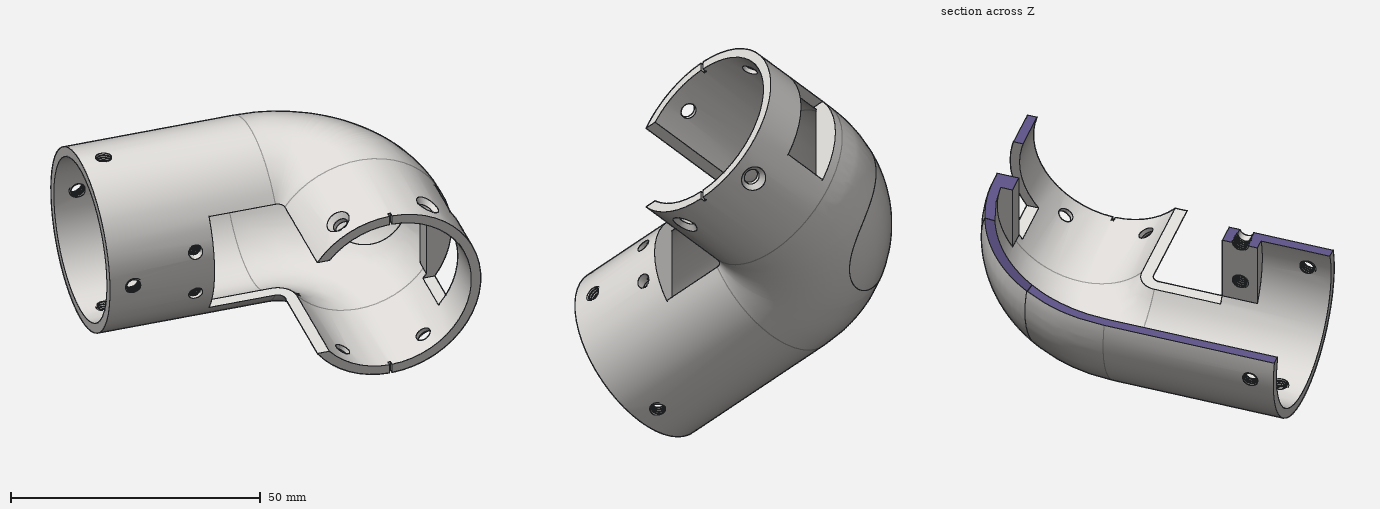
import cadquery as cq
import math


outer_radius = 19.0
wall = 2.0
bore_radius = outer_radius - wall
bend_radius = bore_radius
long_leg = 36.0
short_leg = 20.8
bend_core = 0.7
past_tube = 2 * outer_radius

opening_half_width = 11.0
long_opening_length = 14.0
notch_start = 2.0
notch_length = 10.0

long_pad_distance = 14.0
long_pad_length = 7.5
short_pad_distance = 13.7
short_pad_length = 2 * notch_start

thread_core_radius = 1.45
thread_depth = 0.325
thread_pitch = 0.6
thread_base = 0.57
thread_run_out = 0.9

thread_from_end = 5.05

pad_thread_length = 3.0
pad_hole_height = 5.0

screw_radius = 1.6
countersink_radius = 2.7
countersink_depth = 1.1
screw_from_end = 5.05
screw_angle = 30

slot_width = 0.5
slot_depth = 1.0

insert_x = -27.4
insert_y = 33.3
insert_radius = 15.5


def rod_between(radius, start, end):
    """Cylinder from one end point to the other."""
    axis = cq.Vector(*end) - cq.Vector(*start)
    return cq.Workplane(cq.Solid.makeCylinder(radius, axis.Length, cq.Vector(*start), axis))


def box_between(low, high):
    """Axis-aligned box between two opposite corners."""
    size = [b - a for a, b in zip(low, high)]
    return cq.Workplane("XY").box(*size, centered=False).translate(low)


def bent_rod(radius):
    """Solid quarter bend with a straight rod on each end."""
    flat_height = math.sqrt(radius**2 - (bend_radius - bend_core) ** 2)
    bend = (
        cq.Workplane("XZ")
        .moveTo(-bend_core, -flat_height)
        .threePointArc((-bend_radius - radius, 0), (-bend_core, flat_height))
        .close()
        .revolve(90, (0, 0), (0, -1))
    )
    long_rod = rod_between(radius, (-bend_radius, 0, 0), (-bend_radius, -long_leg, 0))
    short_rod = rod_between(radius, (0, bend_radius, 0), (short_leg, bend_radius, 0))
    return bend.union(long_rod).union(short_rod)


def inner_opening():
    """Gap along the inside of the bend, part of the long leg and all of the short leg."""
    corner = cq.Workplane("XY").circle(bend_radius).extrude(opening_half_width, both=True)
    along_long = box_between(
        (-bend_radius, -long_opening_length, -opening_half_width),
        (past_tube, 0, opening_half_width),
    )
    along_short = box_between(
        (0, -long_opening_length, -opening_half_width),
        (past_tube, bend_radius, opening_half_width),
    )
    quadrant = box_between((-past_tube, 0, -past_tube), (0, past_tube, past_tube))
    return corner.intersect(quadrant).union(along_long).union(along_short)


def outer_notch():
    """Gap in the +Y wall of the short leg."""
    return box_between(
        (notch_start, bend_radius, -opening_half_width),
        (notch_start + notch_length, bend_radius + past_tube, opening_half_width),
    )


def long_pad_block():
    """Space in the long leg, next to the inner opening, that the bore leaves solid."""
    return box_between(
        (-bend_radius + long_pad_distance, -long_opening_length - long_pad_length, -past_tube),
        (past_tube, -long_opening_length, past_tube),
    )


def short_pad_block():
    """Space in the short leg, next to the notch, that the bore leaves solid."""
    return box_between(
        (notch_start - short_pad_length, bend_radius + short_pad_distance, -past_tube),
        (notch_start, bend_radius + past_tube, past_tube),
    )


def threaded_hole(thread_start, thread_length):
    """Cutter for one threaded hole along +Z, plain from the end of its thread outwards."""
    core = rod_between(thread_core_radius, (0, 0, thread_start), (0, 0, past_tube))
    groove_radius = thread_core_radius - thread_depth / 2
    root_radius = thread_core_radius + thread_depth
    half_base = thread_base / 2
    helix = cq.Wire.makeHelix(
        thread_pitch, thread_length, groove_radius, cq.Vector(0, 0, thread_start)
    )
    groove = (
        cq.Workplane("XZ")
        .moveTo(groove_radius, thread_start - half_base)
        .lineTo(root_radius, thread_start)
        .lineTo(groove_radius, thread_start + half_base)
        .close()
        .sweep(cq.Workplane(helix), isFrenet=True)
    )
    return core.union(groove)


def end_threaded_holes():
    """Four threaded holes around the end of the long leg."""
    hole = threaded_hole(bore_radius - thread_run_out, wall + 2 * thread_run_out)
    cutters = []
    for angle in (0, 90, 180, 270):
        turned = hole.rotate((0, 0, 0), (0, 1, 0), angle)
        cutters.append(turned.translate((-bend_radius, thread_from_end - long_leg, 0)))
    return cutters


def pad_threaded_holes():
    """Two holes along +X through the long pad, threaded from the flat."""
    hole = threaded_hole(long_pad_distance - thread_run_out, pad_thread_length + thread_run_out)
    hole = hole.rotate((0, 0, 0), (0, 1, 0), 90)
    y = -long_opening_length - long_pad_length / 2
    return [hole.translate((-bend_radius, y, z)) for z in (-pad_hole_height, pad_hole_height)]


def countersunk_hole():
    """Cutter for one countersunk screw hole, along +Z from the leg axis."""
    shank = rod_between(screw_radius, (0, 0, 0), (0, 0, past_tube))
    slope = (countersink_radius - screw_radius) / countersink_depth
    cone = cq.Solid.makeCone(
        screw_radius,
        countersink_radius + wall * slope,
        countersink_depth + wall,
        cq.Vector(0, 0, outer_radius - countersink_depth),
    )
    return shank.union(cq.Workplane(cone))


def countersunk_holes():
    """Four countersunk holes, two on each side of the mid plane."""
    hole = countersunk_hole()
    cutters = []
    for angle in (screw_angle, -screw_angle, 180 + screw_angle, 180 - screw_angle):
        turned = hole.rotate((0, 0, 0), (1, 0, 0), angle)
        cutters.append(turned.translate((short_leg - screw_from_end, bend_radius, 0)))
    return cutters


def end_slot():
    """Narrow slot through both walls at the end of the short leg."""
    return box_between(
        (short_leg - slot_depth, bend_radius - slot_width / 2, -past_tube),
        (short_leg, bend_radius + slot_width / 2, past_tube),
    )


def make_tube():
    """Whole elbow with its openings and holes, before the insert is separated."""
    bore = bent_rod(bore_radius).cut(long_pad_block()).cut(short_pad_block())
    tube = bent_rod(outer_radius).cut(bore).cut(inner_opening()).cut(outer_notch())
    for cutter in [*pad_threaded_holes(), *countersunk_holes(), end_slot(), *end_threaded_holes()]:
        tube = tube.cut(cutter)
    return tube


def insert_column():
    """Round column that marks out the insert, through the full height of the tube."""
    column = cq.Workplane("XY").center(insert_x, insert_y).circle(insert_radius)
    return column.extrude(past_tube, both=True)


tube = make_tube()
housing = tube.cut(insert_column())
insert = tube.intersect(insert_column())

result = cq.Compound.makeCompound([housing.solids().val(), insert.solids().val()])